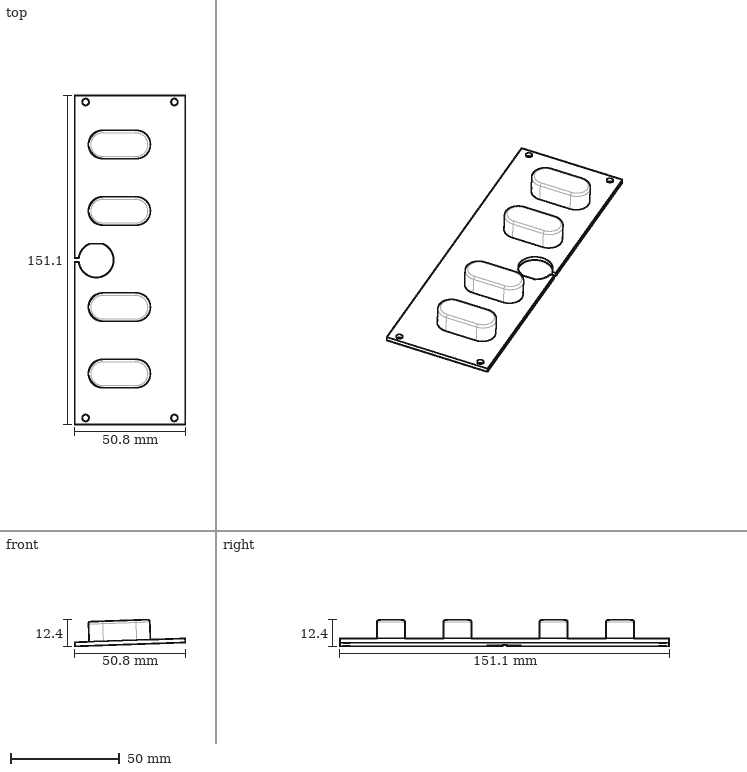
import cadquery as cq

plate_length = 151.1
plate_width = 50.8
plate_thickness = 2.0
tilt_angle = 2.0

pad_length = 28.3
pad_width = 13.0
pad_height = 9.2
pad_edge_round = 1.0
pad_center_x = 20.7
pad_pair_centers_y = (37.8, -36.9)
pad_pair_spacing = 30.5

opening_radius = 8.0
opening_center_x = 9.8
opening_flat_offset = 7.4
slit_width = 1.8

screw_hole_diameter = 3.0
screw_inset_x = 5.0
screw_inset_y = 3.0


def make_plate():
    """Flat plate with its left edge on x = 0 and centred in y."""
    return cq.Workplane("XY").box(
        plate_width, plate_length, plate_thickness, centered=(False, True, False)
    )


def make_pad(center_y):
    """Solid pad with a rounded top rim, rooted at the underside of the plate."""
    return (
        cq.Workplane("XY")
        .center(pad_center_x, center_y)
        .slot2D(pad_length, pad_width)
        .extrude(plate_thickness + pad_height)
        .faces(">Z")
        .edges()
        .fillet(pad_edge_round)
    )


def make_opening():
    """Cutter for the flat-sided opening and its slit."""
    disc = (
        cq.Workplane("XY")
        .center(opening_center_x, 0)
        .circle(opening_radius)
        .extrude(plate_thickness)
    )
    below_flat = (
        cq.Workplane("XY")
        .center(opening_center_x, opening_flat_offset - opening_radius)
        .rect(2 * opening_radius, 2 * opening_radius)
        .extrude(plate_thickness)
    )
    slit = cq.Workplane("XY").box(
        opening_center_x, slit_width, plate_thickness, centered=(False, True, False)
    )
    return disc.intersect(below_flat).union(slit)


def make_screw_holes():
    """Cutter for the four corner holes."""
    return (
        cq.Workplane("XY")
        .center(plate_width / 2, 0)
        .rect(plate_width - 2 * screw_inset_x, plate_length - 2 * screw_inset_y, forConstruction=True)
        .vertices()
        .circle(screw_hole_diameter / 2)
        .extrude(plate_thickness)
    )


body = make_plate()
for pair_center_y in pad_pair_centers_y:
    for side in (-1, 1):
        body = body.union(make_pad(pair_center_y + side * pad_pair_spacing / 2))
body = body.cut(make_opening()).cut(make_screw_holes())

result = body.rotate((0, 0, 0), (0, 1, 0), -tilt_angle)